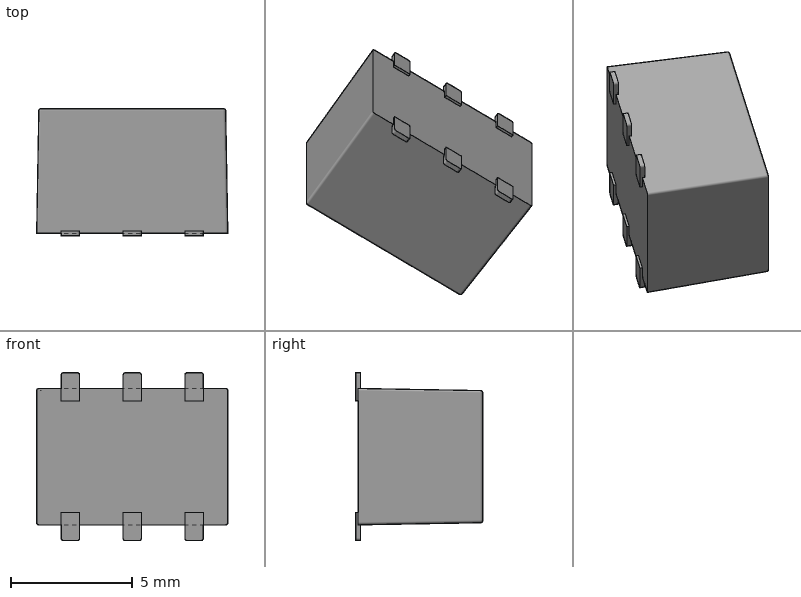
import cadquery as cq

body_width = 7.87
body_height = 5.62
body_depth = 5.13
draft_angle = 1.0
edge_radius = 0.1

overall_height = 6.91
overall_depth = 5.23
pad_width = 0.76
pad_length = 1.165
pad_thickness = 0.205
pad_pitch = 2.54
pad_corner_radius = 0.1
pads_per_row = 3

pad_front_y = -overall_depth / 2
body_front_y = pad_front_y + overall_depth - body_depth


def make_body():
    """Block narrowing toward +Y, rounded everywhere but around the pad face."""
    block = (
        cq.Workplane("XZ", origin=(0, body_front_y, 0))
        .rect(body_width, body_height)
        .extrude(-body_depth, taper=draft_angle)
    )
    return block.edges("not <Y").fillet(edge_radius)


def make_pad(x, side):
    """Flat pad with its two outer corners rounded; side is +1 (top) or -1 (bottom)."""
    center_z = side * (overall_height - pad_length) / 2
    pad = cq.Workplane("XY").box(pad_width, pad_thickness, pad_length)
    outer_corners = pad.faces(">Z" if side > 0 else "<Z").edges("|Y")
    return outer_corners.fillet(pad_corner_radius).translate(
        (x, pad_front_y + pad_thickness / 2, center_z)
    )


result = make_body()
for column in range(pads_per_row):
    pad_x = (column - (pads_per_row - 1) / 2) * pad_pitch
    for row_side in (-1, 1):
        result = result.union(make_pad(pad_x, row_side))